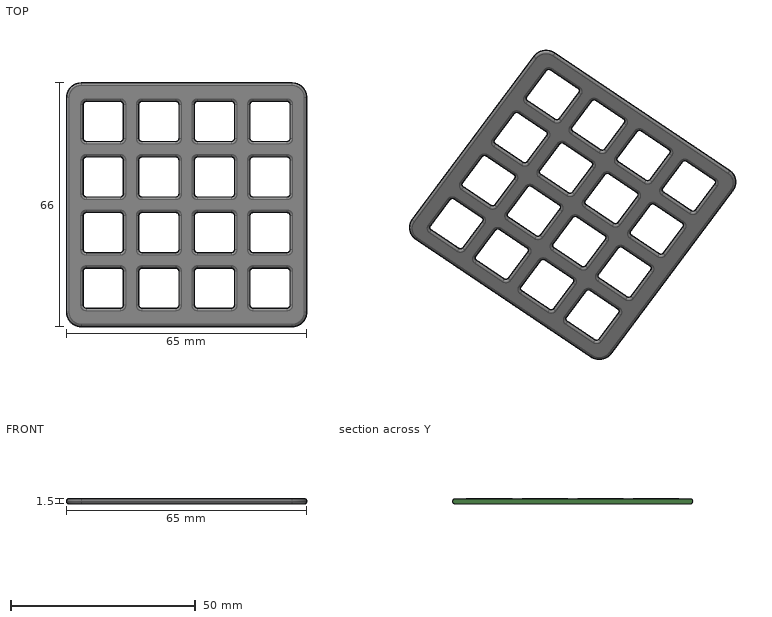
import cadquery as cq

width = 65.0
length = 66.0
thickness = 1.5
corner_radius = 4.0

windows_per_side = 4
grid_span = 45.1
window_pitch = grid_span / (windows_per_side - 1)
window_size = 10.75
window_corner_radius = 0.8

edge_radius = 0.7


def rounded_block(size_x, size_y, radius):
    """Block of plate thickness, centred on the origin, with rounded vertical corners."""
    return cq.Workplane("XY").box(size_x, size_y, thickness).edges("|Z").fillet(radius)


plate = rounded_block(width, length, corner_radius)

window = rounded_block(window_size, window_size, window_corner_radius).val()
windows = (
    cq.Workplane("XY")
    .rarray(window_pitch, window_pitch, windows_per_side, windows_per_side)
    .eachpoint(lambda location: window.moved(location))
)

result = plate.cut(windows).faces("|Z").edges().fillet(edge_radius)